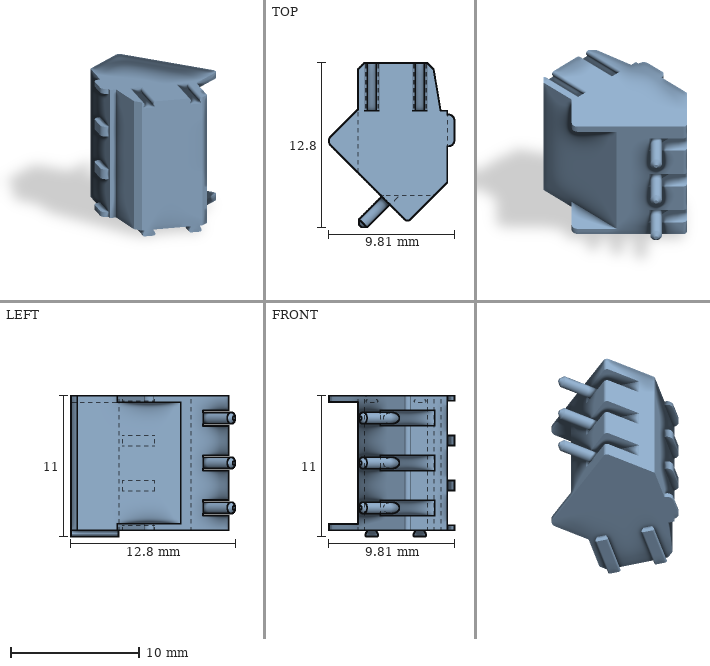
import cadquery as cq
import math


pole_count = 3
pole_pitch = 3.5
body_height = pole_count * pole_pitch

body_width = 6.98
head_length = 3.71
head_chamfer = 0.5
taper_foot_x = 6.46
taper_top_x = 5.92
wing_start_y = 0.1
mount_offset = -4.85
heel_offset = 12.6
wing_radius = 0.5
heel_radius = 0.3
wing_thickness = 0.5

ear_overhang = 0.565
ear_height = 0.8
ear_length = 2.5
ear_start_y = -0.3
ear_radius = 0.5

slot_height = 1.2
slot_floor_y = -6.6
pin_diameter = 0.9
pin_tip_diameter = 0.3
pin_tip_x = 0.19
pin_tip_y = -9.013
pin_embed = 1.0

rail_positions = (1.08, 4.83)
rail_depth = 0.5
key_slope = 0.5
key_neck_half = 0.345
key_round = 0.14
groove_neck_half = 0.36
groove_lip_radius = 0.2
groove_floor_radius = 0.085


def build_body():
    """Prism with a mounting face at 45 degrees and a thin wing at each end of it."""
    wing_x = (mount_offset - wing_start_y) / 2
    wing_y = (mount_offset + wing_start_y) / 2
    heel_x = (mount_offset + heel_offset) / 2
    heel_y = (mount_offset - heel_offset) / 2
    outline = [
        (0, wing_start_y),
        (0, head_length - head_chamfer),
        (head_chamfer, head_length),
        (taper_top_x - head_chamfer, head_length),
        (taper_top_x, head_length - head_chamfer),
        (taper_foot_x, 0),
        (body_width, 0),
        (body_width, body_width - heel_offset),
        (heel_x, heel_y),
        (wing_x, wing_y),
    ]
    mid_height = body_height / 2
    body = cq.Workplane("XY").polyline(outline).close().extrude(body_height)
    body = body.edges(cq.NearestToPointSelector((wing_x, wing_y, mid_height))).fillet(wing_radius)
    body = body.edges(cq.NearestToPointSelector((heel_x, heel_y, mid_height))).fillet(heel_radius)
    wing_gap = (
        cq.Workplane("XY", origin=(0, mount_offset, wing_thickness))
        .rect(wing_x, wing_start_y - mount_offset, centered=False)
        .extrude(body_height - 2 * wing_thickness)
    )
    return body.cut(wing_gap)


def build_ears():
    """Ears centred on the pole boundaries; the two end ears are half height."""
    ears = cq.Workplane("XY")
    for boundary in range(pole_count + 1):
        boundary_z = boundary * pole_pitch
        bottom = max(boundary_z - ear_height / 2, 0)
        top = min(boundary_z + ear_height / 2, body_height)
        ear = (
            cq.Workplane("XY", origin=(body_width - ear_overhang, ear_start_y - ear_length, bottom))
            .rect(2 * ear_overhang, ear_length, centered=False)
            .extrude(top - bottom)
            .edges("|Z and >X")
            .fillet(ear_radius)
        )
        ears = ears.add(ear)
    return ears.combine()


def pole_height(pole):
    """Height of a pole's centre above the bottom of the body."""
    return (pole + 0.5) * pole_pitch


def cut_pin_slots(body):
    """Slots through the heel, one per pole, with a flat floor facing -Y."""
    heel_y = (mount_offset - heel_offset) / 2
    for pole in range(pole_count):
        slot = (
            cq.Workplane("XY", origin=(0, heel_y, pole_height(pole) - slot_height / 2))
            .rect(body_width, slot_floor_y - heel_y, centered=False)
            .extrude(slot_height)
        )
        body = body.cut(slot)
    return body


def build_pin(pole):
    """Round pin square to the mounting face, with a 45 degree cone at its tip."""
    heading = math.sqrt(0.5)
    exposed_length = (slot_floor_y - pin_tip_y) / heading
    axis = cq.Plane(
        origin=(pin_tip_x, pin_tip_y, pole_height(pole)),
        xDir=(0, 0, 1),
        normal=(heading, heading, 0),
    )
    return (
        cq.Workplane(axis)
        .circle(pin_diameter / 2)
        .extrude(exposed_length + pin_embed)
        .faces("<(1, 1, 0)")
        .chamfer((pin_diameter - pin_tip_diameter) / 2)
    )


def build_key(center_x):
    """Dovetail key hanging below the body, widening downwards to rounded corners."""
    base_half = key_neck_half + key_slope * rail_depth
    return (
        cq.Workplane("XZ")
        .polyline([
            (center_x - key_neck_half, 0),
            (center_x + key_neck_half, 0),
            (center_x + base_half, -rail_depth),
            (center_x - base_half, -rail_depth),
        ])
        .close()
        .extrude(-head_length)
        .edges("|Y and <Z")
        .fillet(key_round)
    )


def build_groove(center_x):
    """Undercut groove: each side is a rounded lip that flows into a round along the floor."""
    lip_x = groove_neck_half + groove_lip_radius
    lip_z = body_height - groove_lip_radius
    floor_z = body_height - rail_depth
    round_z = floor_z + groove_floor_radius

    center_distance = groove_lip_radius + groove_floor_radius
    touch_angle = math.asin((lip_z - round_z) / center_distance)
    round_x = lip_x - center_distance * math.cos(touch_angle)
    touch_x = lip_x - groove_lip_radius * math.cos(touch_angle)
    touch_z = lip_z - groove_lip_radius * math.sin(touch_angle)

    return (
        cq.Workplane("XZ", origin=(center_x, 0, 0))
        .moveTo(-lip_x, body_height)
        .lineTo(lip_x, body_height)
        .threePointArc((groove_neck_half, lip_z), (touch_x, touch_z))
        .threePointArc((round_x + groove_floor_radius, round_z), (round_x, floor_z))
        .lineTo(-round_x, floor_z)
        .threePointArc((-round_x - groove_floor_radius, round_z), (-touch_x, touch_z))
        .threePointArc((-groove_neck_half, lip_z), (-lip_x, body_height))
        .close()
        .extrude(-head_length)
    )


result = cut_pin_slots(build_body().union(build_ears()))
for pole in range(pole_count):
    result = result.union(build_pin(pole))
for rail_x in rail_positions:
    result = result.union(build_key(rail_x)).cut(build_groove(rail_x))